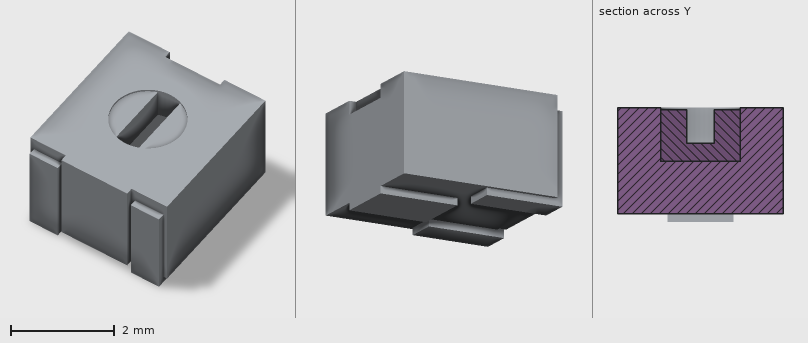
import cadquery as cq

width = 3.2
depth = 3.36
total_height = 2.21
plate = 0.15
housing_height = total_height - plate
front_y = -depth / 2
back_y = depth / 2

side_gap = 0.085
front_terminal_width = 0.66
back_terminal_width = 1.28
terminal_height = 1.93
foot_gap = 0.18
back_foot_length = depth / 2
front_foot_length = depth + plate - back_foot_length - foot_gap
front_terminal_x = width / 2 - side_gap - front_terminal_width / 2
boss_width = width - 2 * (front_terminal_width + 2 * side_gap)

rotor_radius = 0.765
rotor_recess = 0.04
rotor_thickness = 1.0
slot_width = 0.52
slot_depth = 0.65
rotor_top = total_height - rotor_recess
rotor_bottom = rotor_top - rotor_thickness


def block(x_size, x_center, y_min, y_max, z_min, z_max):
    """Box centred on x_center, between the given Y and Z limits."""
    return (
        cq.Workplane("XY")
        .box(x_size, y_max - y_min, z_max - z_min, centered=(True, False, False))
        .translate((x_center, y_min, z_min))
    )


def front_terminal(x_center):
    """L-shaped terminal: an upright on the front face and a foot under the housing."""
    outer_y = front_y - plate
    upright = block(front_terminal_width, x_center, outer_y, front_y, 0, terminal_height)
    foot = block(front_terminal_width, x_center, outer_y, outer_y + front_foot_length, 0, plate)
    return upright.union(foot)


def back_terminal():
    """L-shaped terminal whose upright lies flush in the back notch."""
    upright = block(back_terminal_width, 0, back_y - plate, back_y, 0, terminal_height)
    foot = block(back_terminal_width, 0, back_y - back_foot_length, back_y, 0, plate)
    return upright.union(foot)


def make_housing():
    """Block with front boss, back notch, rotor bore and the three terminals."""
    body = block(width, 0, front_y, back_y, plate, total_height)
    boss = block(boss_width, 0, front_y - plate, front_y, plate, total_height)
    notch = block(back_terminal_width, 0, back_y - plate, back_y, plate, total_height)
    bore = cq.Workplane("XY").workplane(offset=rotor_bottom).circle(rotor_radius).extrude(housing_height)
    body = body.union(boss).cut(notch).cut(bore)
    for side in (-1, 1):
        body = body.union(front_terminal(side * front_terminal_x))
    return body.union(back_terminal())


def make_rotor():
    """Disc with a screwdriver slot running along Y across its top."""
    disc = cq.Workplane("XY").workplane(offset=rotor_bottom).circle(rotor_radius).extrude(rotor_thickness)
    slot = block(slot_width, 0, -rotor_radius, rotor_radius, rotor_top - slot_depth, rotor_top)
    return disc.cut(slot)


housing = make_housing()
rotor = make_rotor()

result = cq.Compound.makeCompound([housing.val(), rotor.val()])